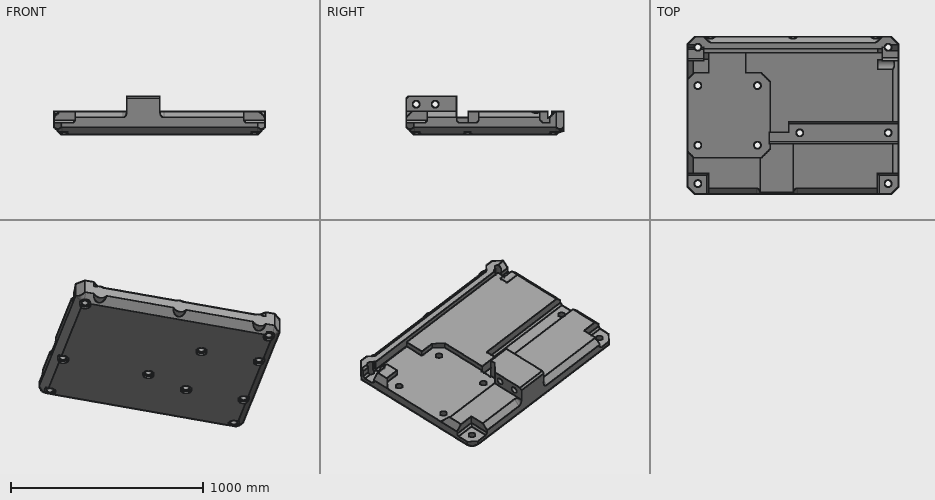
import cadquery as cq

LENGTH = 1100.0
WIDTH = 820.0
HEIGHT = 200.0
PLATE_TOP = 121.0

CORNER_CUT = 40.0
CORNER_ROUND = 42.0
BOTTOM_CHAMFER = 40.0
TOP_CHAMFER = 31.0
BEVEL_END_FILLET = 20.0
SHELF = PLATE_TOP - TOP_CHAMFER

HOLE_DIAMETER = 35.0
COUNTERBORE_DIAMETER = 57.0
COUNTERBORE_DEPTH = 14.0
HOLE_INSET = 55.0
SLOT_HOLE_X = 585.0
SLOT_HOLE_Y = 319.0

RECESS_X = 210.0
RECESS_SIZE = 442.0
RECESS_CORNER = 46.0
RECESS_HOLE_PITCH = 2 * (RECESS_X - HOLE_INSET)
RECESS_REAR = (WIDTH + RECESS_SIZE) / 2
CHANNEL_RIGHT = 305.0

LOW_FLOOR = 63.0
FLOOR_BEVEL = 11.0
POCKET_LENGTH = 112.0
POCKET_WIDTH = 110.0

REAR_POCKET_FRONT = 694.0
REAR_POCKET_BACK = 766.0
REAR_POCKET_LENGTH = 86.0
LEFT_RAMP_FRONT = 702.0
REAR_SLOPE_TOP = 777.0
RIGHT_SLOPE_BOTTOM = REAR_SLOPE_TOP - TOP_CHAMFER
RIGHT_POCKET_BEVEL = 15.0

GROOVE_FRONT = 737.0
GROOVE_BACK = 757.0
GROOVE_FLOOR = 66.0
GROOVE_RAMP_LENGTH = 24.0

TROUGH_FRONT = 651.0
TROUGH_BACK = 698.0
TROUGH_LENGTH = 110.0
TROUGH_DEPTH = 9.0

REAR_BEVEL_INSET = 86.0
REAR_BEVEL_FILLET = 11.0

SLOT_FRONT = 262.0
SLOT_BACK = 377.0
SLOT_LEFT = 528.0
SLOT_NECK_LEFT = 426.0
SLOT_NECK_BACK = 322.0

BLOCK_LEFT = 380.0
BLOCK_RIGHT = 552.0
BLOCK_CHAMFER = 11.0
CROSS_HOLE_Y = (52.0, 151.0)
CROSS_HOLE_Z = 158.0

BOSS_INSET = 121.0
BOSS_X = (BOSS_INSET, LENGTH / 2, LENGTH - BOSS_INSET)
BOSS_Z = 58.0
BOSS_RADIUS = 40.0
BOSS_DEPTH = 38.0
BOSS_TAPER = 0.3


def box(x0, x1, y0, y1, z0, z1):
    return cq.Workplane("XY").box(x1 - x0, y1 - y0, z1 - z0, centered=False).translate((x0, y0, z0))


def prism_along_x(points, x0, x1):
    """Extrude a (y, z) outline from x0 to x1."""
    return cq.Workplane("YZ").polyline(points).close().extrude(x1 - x0).translate((x0, 0, 0))


def prism_along_y(points, y0, y1):
    """Extrude an (x, z) outline from y0 to y1."""
    return cq.Workplane("XZ").polyline(points).close().extrude(y0 - y1).translate((0, y0, 0))


def make_plate():
    """Plate with beveled underside and cut corners."""
    plate = box(0, LENGTH, 0, WIDTH, 0, PLATE_TOP)
    plate = plate.edges("|Z").fillet(CORNER_ROUND)
    plate = plate.faces("<Z").chamfer(BOTTOM_CHAMFER)
    outline = box(0, LENGTH, 0, WIDTH, 0, PLATE_TOP).edges("|Z").chamfer(CORNER_CUT)
    return plate.intersect(outline)


def make_block():
    block = box(BLOCK_LEFT, BLOCK_RIGHT, 0, SLOT_FRONT, SHELF, HEIGHT)
    return block.edges(">Z and <Y").chamfer(BLOCK_CHAMFER)


def make_boss(x):
    """Cone that narrows towards the rear face."""
    return cq.Workplane(
        cq.Solid.makeCone(
            BOSS_RADIUS,
            BOSS_RADIUS + BOSS_TAPER * BOSS_DEPTH,
            BOSS_DEPTH,
            pnt=cq.Vector(x, WIDTH, BOSS_Z),
            dir=cq.Vector(0, -1, 0),
        )
    )


def side_bevels():
    """Wedges that bevel the left and right top edges."""
    left = [(0, SHELF), (TOP_CHAMFER, PLATE_TOP), (0, PLATE_TOP)]
    right = [(LENGTH - x, z) for x, z in left]
    return [prism_along_y(side, 0, REAR_POCKET_FRONT) for side in (left, right)]


def front_bevels():
    """Wedges that bevel the front top edge and blend into the sides of the block."""
    profile = [(0, SHELF), (TOP_CHAMFER, PLATE_TOP), (0, PLATE_TOP)]
    left = prism_along_x(profile, 0, BLOCK_LEFT)
    right = prism_along_x(profile, BLOCK_RIGHT, LENGTH)
    slope_edge = "not(|X or |Y or |Z)"
    left = left.faces(">X").edges(slope_edge).fillet(BEVEL_END_FILLET)
    right = right.faces("<X").edges(slope_edge).fillet(BEVEL_END_FILLET)
    return [left, right]


def rear_bevel():
    """Wedge that bevels the rear top edge, with filleted ends slanting in at 45 degrees."""
    wedge = prism_along_x(
        [(WIDTH, SHELF), (WIDTH - TOP_CHAMFER, PLATE_TOP), (WIDTH, PLATE_TOP)], 0, LENGTH
    )
    inner = REAR_BEVEL_INSET + TOP_CHAMFER
    plan = [
        (REAR_BEVEL_INSET, WIDTH),
        (inner, WIDTH - TOP_CHAMFER),
        (LENGTH - inner, WIDTH - TOP_CHAMFER),
        (LENGTH - REAR_BEVEL_INSET, WIDTH),
    ]
    wedge = wedge.intersect(cq.Workplane("XY").polyline(plan).close().extrude(PLATE_TOP))
    slope_ends = wedge.edges("not(|X or |Y or |Z or >Z)")
    return slope_ends.fillet(REAR_BEVEL_FILLET)


def recess():
    """Octagonal recess, open to the left, that also trims the block."""
    octagon = (
        cq.Workplane("XY", origin=(RECESS_X, WIDTH / 2, SHELF))
        .rect(RECESS_SIZE, RECESS_SIZE)
        .extrude(HEIGHT - SHELF)
        .edges("|Z")
        .chamfer(RECESS_CORNER)
    )
    channel = box(POCKET_LENGTH, CHANNEL_RIGHT, RECESS_REAR - RECESS_CORNER, GROOVE_FRONT, SHELF, PLATE_TOP)
    return octagon.union(channel)


def front_pocket(x0, x1, inner_side):
    """Corner pocket with a bevel along the floor at its two inner walls."""
    pocket = box(x0, x1, 0, POCKET_WIDTH, LOW_FLOOR, PLATE_TOP)
    return pocket.edges(f"(<Z and {inner_side}X) or (<Z and >Y)").chamfer(FLOOR_BEVEL)


def left_rear_pocket():
    """Pocket with beveled floor edges, a chamfered rear lip and a ramp up to the channel."""
    profile = [
        (REAR_POCKET_FRONT, PLATE_TOP),
        (REAR_POCKET_FRONT, LOW_FLOOR + FLOOR_BEVEL),
        (REAR_POCKET_FRONT + FLOOR_BEVEL, LOW_FLOOR),
        (REAR_POCKET_BACK - FLOOR_BEVEL, LOW_FLOOR),
        (REAR_POCKET_BACK, LOW_FLOOR + FLOOR_BEVEL),
        (REAR_POCKET_BACK, PLATE_TOP),
    ]
    pocket = prism_along_x(profile, 0, REAR_POCKET_LENGTH)
    lip = prism_along_x(
        [
            (REAR_POCKET_BACK, PLATE_TOP),
            (REAR_SLOPE_TOP, PLATE_TOP),
            (REAR_POCKET_BACK, PLATE_TOP - (REAR_SLOPE_TOP - REAR_POCKET_BACK)),
        ],
        0,
        HOLE_INSET,
    )
    ramp = prism_along_y(
        [
            (REAR_POCKET_LENGTH, LOW_FLOOR),
            (POCKET_LENGTH, SHELF),
            (POCKET_LENGTH, PLATE_TOP),
            (REAR_POCKET_LENGTH, PLATE_TOP),
        ],
        LEFT_RAMP_FRONT,
        GROOVE_FRONT,
    )
    return pocket.union(lip).union(ramp)


def right_rear_pocket():
    """Pocket with one beveled floor edge and a slope above its rear wall."""
    wall = LENGTH - REAR_POCKET_LENGTH
    profile = [
        (REAR_POCKET_FRONT, PLATE_TOP),
        (REAR_POCKET_FRONT, LOW_FLOOR + RIGHT_POCKET_BEVEL),
        (REAR_POCKET_FRONT + RIGHT_POCKET_BEVEL, LOW_FLOOR),
        (RIGHT_SLOPE_BOTTOM, LOW_FLOOR),
        (RIGHT_SLOPE_BOTTOM, PLATE_TOP),
    ]
    pocket = prism_along_x(profile, wall, LENGTH)
    inner = box(wall, LENGTH - HOLE_INSET, RIGHT_SLOPE_BOTTOM, REAR_POCKET_BACK, LOW_FLOOR, PLATE_TOP)
    slope = prism_along_x(
        [(RIGHT_SLOPE_BOTTOM, PLATE_TOP), (RIGHT_SLOPE_BOTTOM, SHELF), (REAR_SLOPE_TOP, PLATE_TOP)],
        LENGTH - HOLE_INSET,
        LENGTH,
    )
    return pocket.union(inner).union(slope)


def groove():
    """Groove inside the rear wall, with a floor that ramps up at its right end."""
    end = LENGTH - REAR_POCKET_LENGTH
    profile = [
        (REAR_POCKET_LENGTH, PLATE_TOP),
        (REAR_POCKET_LENGTH, GROOVE_FLOOR),
        (end - GROOVE_RAMP_LENGTH, GROOVE_FLOOR),
        (end, SHELF),
        (end, PLATE_TOP),
    ]
    return prism_along_y(profile, GROOVE_FRONT, GROOVE_BACK)


def trough():
    """Shallow round-bottomed trough, open to the right."""
    outline = (
        cq.Workplane("YZ")
        .moveTo(TROUGH_FRONT, PLATE_TOP)
        .threePointArc(
            ((TROUGH_FRONT + TROUGH_BACK) / 2, PLATE_TOP - TROUGH_DEPTH), (TROUGH_BACK, PLATE_TOP)
        )
        .close()
    )
    return outline.extrude(TROUGH_LENGTH).translate((LENGTH - TROUGH_LENGTH, 0, 0))


def slot():
    """Slot from the right edge, narrowing to a neck that reaches the recess behind the block."""
    wide = box(SLOT_LEFT, LENGTH, SLOT_FRONT, SLOT_BACK, LOW_FLOOR, PLATE_TOP)
    wide = wide.edges("<Z and |X").chamfer(FLOOR_BEVEL)
    neck = box(SLOT_NECK_LEFT, SLOT_LEFT, SLOT_FRONT, SLOT_NECK_BACK, LOW_FLOOR, PLATE_TOP)
    neck = neck.edges("<Z and <Y").chamfer(FLOOR_BEVEL)
    return wide.union(neck)


def screw_holes():
    """Through holes with their counterbores on the underside."""
    corners = [(x, y) for x in (HOLE_INSET, LENGTH - HOLE_INSET) for y in (HOLE_INSET, WIDTH - HOLE_INSET)]
    half_pitch = RECESS_HOLE_PITCH / 2
    square = [
        (RECESS_X + i * half_pitch, WIDTH / 2 + j * half_pitch) for i in (-1, 1) for j in (-1, 1)
    ]
    in_slot = [(SLOT_HOLE_X, SLOT_HOLE_Y), (LENGTH - HOLE_INSET, SLOT_HOLE_Y)]
    places = cq.Workplane("XY").pushPoints(corners + square + in_slot)
    bores = places.circle(HOLE_DIAMETER / 2).extrude(PLATE_TOP)
    return bores.union(places.circle(COUNTERBORE_DIAMETER / 2).extrude(COUNTERBORE_DEPTH))


def cross_holes():
    points = [(y, CROSS_HOLE_Z) for y in CROSS_HOLE_Y]
    return cq.Workplane("YZ").pushPoints(points).circle(HOLE_DIAMETER / 2).extrude(LENGTH)


result = make_plate()
for wedge in [*side_bevels(), *front_bevels(), rear_bevel()]:
    result = result.cut(wedge)
result = result.union(make_block())
for boss_x in BOSS_X:
    result = result.union(make_boss(boss_x))

cutters = [
    recess(),
    front_pocket(0, POCKET_LENGTH, ">"),
    front_pocket(LENGTH - POCKET_LENGTH, LENGTH, "<"),
    left_rear_pocket(),
    right_rear_pocket(),
    groove(),
    trough(),
    slot(),
    screw_holes(),
    cross_holes(),
]
for cutter in cutters:
    result = result.cut(cutter)